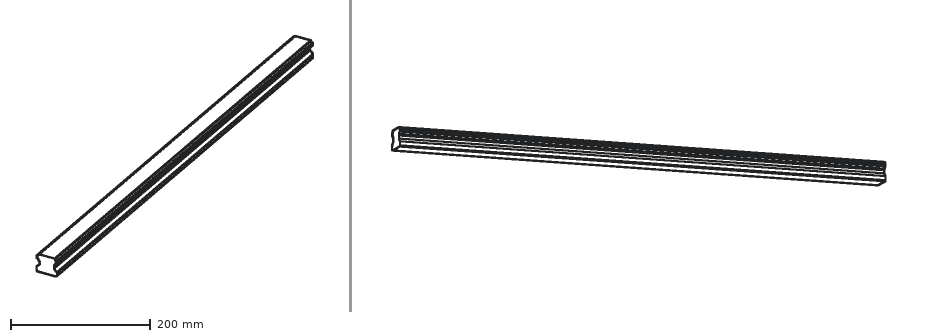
import cadquery as cq
import math

WIDTH = 34.0
LENGTH = 740.0
HEIGHT = 29.0
HALF_WIDTH = WIDTH / 2

FOOT_CHAMFER = 1.5
FOOT_SIDE_TOP = 7.4

NECK_HALF_WIDTH = 12.0
NECK_BOTTOM = FOOT_SIDE_TOP + HALF_WIDTH - NECK_HALF_WIDTH
NECK_TOP = 16.9

HEAD_MID_LEVEL = 23.75
HEAD_BEVEL = 3.75
BEVEL_LAND = 0.7
GROOVE_RADIUS = 2.4


def upper_bevel_points():
    """Side edge, groove start, groove bottom, groove end and top edge of the upper right bevel."""
    diagonal = math.sqrt(0.5)
    land_step = BEVEL_LAND * diagonal
    bevel_length = HEAD_BEVEL / diagonal
    half_chord = bevel_length / 2 - BEVEL_LAND
    groove_depth = GROOVE_RADIUS - math.sqrt(GROOVE_RADIUS**2 - half_chord**2)
    groove_step = HEAD_BEVEL / 2 + groove_depth * diagonal

    side_edge = (HALF_WIDTH, HEIGHT - HEAD_BEVEL)
    groove_start = (HALF_WIDTH - land_step, HEIGHT - HEAD_BEVEL + land_step)
    groove_bottom = (HALF_WIDTH - groove_step, HEIGHT - groove_step)
    groove_end = (HALF_WIDTH - HEAD_BEVEL + land_step, HEIGHT - land_step)
    top_edge = (HALF_WIDTH - HEAD_BEVEL, HEIGHT)
    return side_edge, groove_start, groove_bottom, groove_end, top_edge


def mirror_in_head(point):
    """The point reflected about the mid level of the head."""
    x, z = point
    return x, 2 * HEAD_MID_LEVEL - z


def half_profile():
    """Right half of the cross-section, closed along the centre plane."""
    side_edge, groove_start, groove_bottom, groove_end, top_edge = upper_bevel_points()
    return (
        cq.Workplane("XZ")
        .moveTo(0, 0)
        .lineTo(HALF_WIDTH - FOOT_CHAMFER, 0)
        .lineTo(HALF_WIDTH, FOOT_CHAMFER)
        .lineTo(HALF_WIDTH, FOOT_SIDE_TOP)
        .lineTo(NECK_HALF_WIDTH, NECK_BOTTOM)
        .lineTo(NECK_HALF_WIDTH, NECK_TOP)
        .lineTo(*mirror_in_head(groove_end))
        .threePointArc(mirror_in_head(groove_bottom), mirror_in_head(groove_start))
        .lineTo(*mirror_in_head(side_edge))
        .lineTo(*side_edge)
        .lineTo(*groove_start)
        .threePointArc(groove_bottom, groove_end)
        .lineTo(*top_edge)
        .lineTo(0, HEIGHT)
        .close()
    )


def make_rail():
    """Both halves of the rail, joined at the centre plane."""
    right_half = half_profile().extrude(LENGTH / 2, both=True)
    left_half = right_half.mirror("YZ")
    return right_half.union(left_half).clean()


result = make_rail()